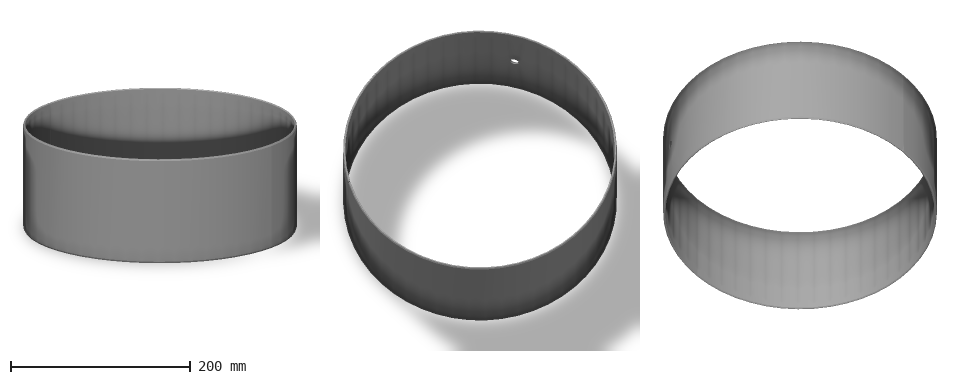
import cadquery as cq

outer_diameter = 305.0
height = 120.0
wall = 2.5
inner_diameter = outer_diameter - 2 * wall

bevel_height = 1.8
bevel_depth = 1.0

inner_bevel = 1.0

split_width = 1.5
split_offset = 1.2

hole_diameter = 10.0
hole_angle = 59.0


def make_ring():
    """Thin ring, centred on the origin, with bevelled inner and outer rims."""
    outer_radius = outer_diameter / 2
    inner_radius = inner_diameter / 2
    rim_radius = outer_radius - bevel_depth
    inner_rim_radius = inner_radius + inner_bevel
    half_height = height / 2
    bevel_start = half_height - bevel_height
    inner_bevel_start = half_height - inner_bevel
    profile = [
        (inner_radius, -inner_bevel_start),
        (inner_rim_radius, -half_height),
        (rim_radius, -half_height),
        (outer_radius, -bevel_start),
        (outer_radius, bevel_start),
        (rim_radius, half_height),
        (inner_rim_radius, half_height),
        (inner_radius, inner_bevel_start),
    ]
    return cq.Workplane("XZ").polyline(profile).close().revolve(360, (0, 0), (0, 1))


def make_split():
    """Full-height block that opens the ring on the -X side."""
    length = outer_diameter / 2
    return cq.Workplane("XY").box(length, split_width, height).translate((-length, split_offset, 0))


def make_hole():
    """Radial cylinder from the axis out through one side of the wall."""
    cylinder = cq.Workplane("YZ").circle(hole_diameter / 2).extrude(outer_diameter)
    return cylinder.rotate((0, 0, 0), (0, 0, 1), hole_angle)


result = make_ring().cut(make_split()).cut(make_hole())